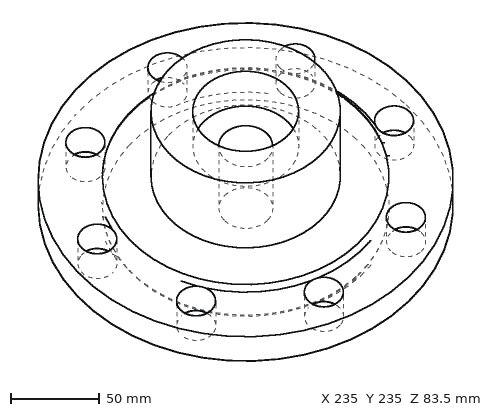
import cadquery as cq
import math

flange_diameter = 235.0
flange_thickness = 21.2

face_height = 3.0
face_diameter = 162.2

hub_diameter = 107.2
total_height = 83.5
bore_diameter = 30.5
counterbore_diameter = 60.0
counterbore_depth = 30.0

bolt_hole_diameter = 22.0
bolt_circle_diameter = 189.9
bolt_count = 8

flange_bottom = face_height
flange_top = flange_bottom + flange_thickness
hub_bottom = flange_top + face_height

face_radius = face_diameter / 2
fillet_end_radius = face_radius + face_height
arc_offset = face_height * math.sqrt(0.5)
arc_mid_radius = fillet_end_radius - arc_offset

half_section = (
    cq.Workplane("XZ")
    .lineTo(face_radius, 0)
    .threePointArc((arc_mid_radius, arc_offset), (fillet_end_radius, flange_bottom))
    .lineTo(flange_diameter / 2, flange_bottom)
    .lineTo(flange_diameter / 2, flange_top)
    .lineTo(fillet_end_radius, flange_top)
    .threePointArc((arc_mid_radius, hub_bottom - arc_offset), (face_radius, hub_bottom))
    .lineTo(hub_diameter / 2, hub_bottom)
    .lineTo(hub_diameter / 2, total_height)
    .lineTo(0, total_height)
    .close()
)
body = half_section.revolve(360, (0, 0), (0, 1))

body = (
    body.faces(">Z").workplane()
    .cboreHole(bore_diameter, counterbore_diameter, counterbore_depth)
)

bolt_holes = (
    cq.Workplane("XY")
    .polarArray(bolt_circle_diameter / 2, 0, 360, bolt_count)
    .circle(bolt_hole_diameter / 2)
    .extrude(total_height)
)
result = body.cut(bolt_holes)